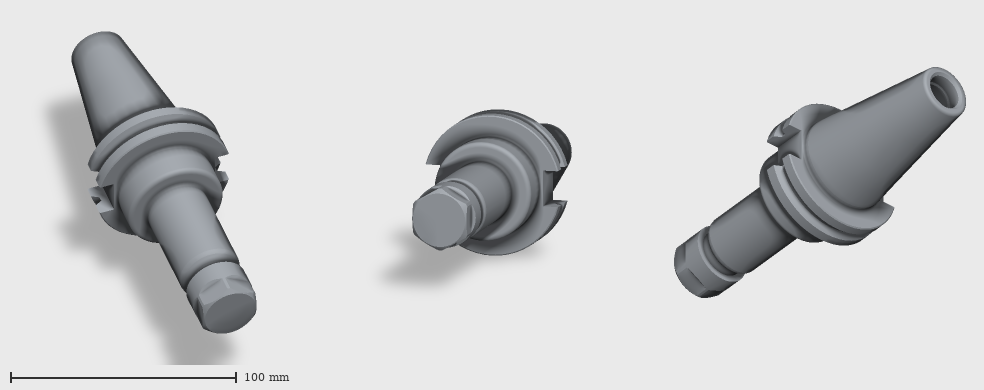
import cadquery as cq
import math


gauge_radius = 22.25
gauge_x = 68.5
taper_ratio = 7 / 24
small_end_radius = gauge_radius - gauge_x * taper_ratio / 2
small_end_fillet = 1.5

flange_start = 71.5
flange_width = 16.1
flange_end = flange_start + flange_width
flange_radius = 31.59
flange_chamfer = 0.5
flange_root_fillet = 1.0
groove_centre = 79.5
groove_floor_radius = 28.4
groove_floor_width = 2.3
groove_half_angle = 30
slot_width = 16.1
slot_floor_offset = 23.7

body_end = 103.5
body_fillet = 2.0
barrel_radius = 28.2 / 2
barrel_root_fillet = 1.4
neck_radius = 22.0 / 2
neck_start = 150.3
shoulder_start = neck_start - (barrel_radius - neck_radius)
shoulder_fillet = 3.0

nut_start = 154.4
nut_end = 173.1
nut_radius = 28.0 / 2
nut_front_chamfer = 1.99
hex_across_flats = 25.0
hex_sides = 6
hex_start = 164.5

bore_mouth_radius = 9.3
bore_radius = 16.3 / 2
bore_depth = 7.0
thread_radius = 13.3 / 2
thread_depth = 43.3


def revolve_profile(points):
    """Revolve a closed (x, radius) outline about the X axis."""
    return cq.Workplane("XY").polyline(points).close().revolve(360, (0, 0, 0), (1, 0, 0))


def ring_edge(part, x, radius):
    """Select the circular edge of the given radius lying at station x."""
    def is_at(value, target):
        return math.isclose(value, target, abs_tol=0.02)

    def matches(edge):
        box = edge.BoundingBox()
        return is_at(box.xmin, x) and is_at(box.xmax, x) and is_at(box.zmax, radius)

    return part.edges().filter(matches)


def make_turned_body():
    part = revolve_profile([
        (0, 0),
        (0, small_end_radius),
        (gauge_x, gauge_radius),
        (flange_start, gauge_radius),
        (flange_start, flange_radius),
        (flange_end, flange_radius),
        (flange_end, gauge_radius),
        (body_end, gauge_radius),
        (body_end, barrel_radius),
        (shoulder_start, barrel_radius),
        (neck_start, neck_radius),
        (nut_start, neck_radius),
        (nut_start, nut_radius),
        (nut_end, nut_radius),
        (nut_end, 0),
    ])
    fillets = [
        (0, small_end_radius, small_end_fillet),
        (flange_start, gauge_radius, flange_root_fillet),
        (flange_end, gauge_radius, flange_root_fillet),
        (body_end, gauge_radius, body_fillet),
        (body_end, barrel_radius, barrel_root_fillet),
        (shoulder_start, barrel_radius, shoulder_fillet),
    ]
    for x, radius, size in fillets:
        part = ring_edge(part, x, radius).fillet(size)
    chamfers = [
        (flange_start, flange_radius, flange_chamfer),
        (flange_end, flange_radius, flange_chamfer),
        (nut_end, nut_radius, nut_front_chamfer),
    ]
    for x, radius, size in chamfers:
        part = ring_edge(part, x, radius).chamfer(size)
    return part


def make_groove():
    depth = flange_radius - groove_floor_radius
    half_floor = groove_floor_width / 2
    half_top = half_floor + depth * math.tan(math.radians(groove_half_angle))
    return revolve_profile([
        (groove_centre - half_floor, groove_floor_radius),
        (groove_centre - half_top, flange_radius),
        (groove_centre + half_top, flange_radius),
        (groove_centre + half_floor, groove_floor_radius),
    ])


def make_drive_slot(side):
    """Slot through the flange rim; side is +1 for +Y and -1 for -Y."""
    depth = flange_radius - slot_floor_offset
    centre_y = side * (slot_floor_offset + depth / 2)
    return (
        cq.Workplane("XY")
        .box(flange_width, depth, slot_width)
        .translate((flange_start + flange_width / 2, centre_y, 0))
    )


def make_flat_cutter():
    """Material outside one hexagon flat on the +Y side, ending in a 45 degree run-out."""
    flat_offset = hex_across_flats / 2
    height = nut_radius - flat_offset
    return (
        cq.Workplane("XY")
        .polyline([
            (hex_start, flat_offset),
            (nut_end, flat_offset),
            (nut_end, nut_radius),
            (hex_start - height, nut_radius),
        ])
        .close()
        .extrude(nut_radius, both=True)
    )


def make_bore():
    mouth_depth = bore_mouth_radius - bore_radius
    return revolve_profile([
        (0, 0),
        (0, bore_mouth_radius),
        (mouth_depth, bore_radius),
        (bore_depth, bore_radius),
        (bore_depth, thread_radius),
        (thread_depth, thread_radius),
        (thread_depth, 0),
    ])


result = make_turned_body().cut(make_groove()).cut(make_bore())
for side in (1, -1):
    result = result.cut(make_drive_slot(side))
for index in range(hex_sides):
    result = result.cut(make_flat_cutter().rotate((0, 0, 0), (1, 0, 0), index * 360 / hex_sides))